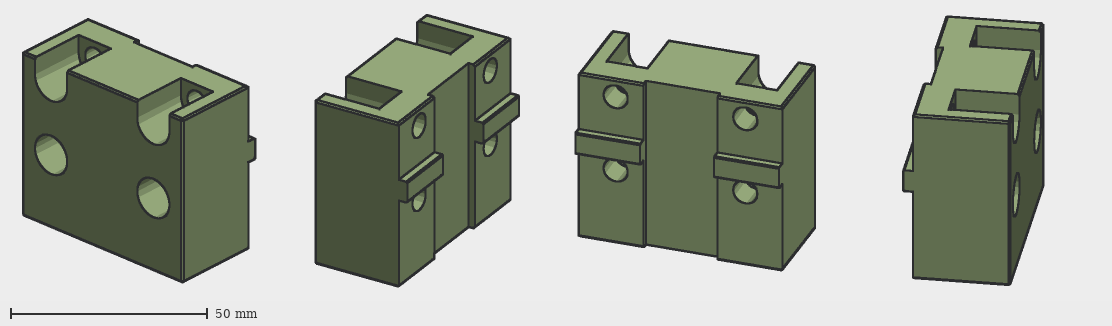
import cadquery as cq

width = 55.0
depth = 25.0
height = 47.0
edge_chamfer = 0.5

key_projection = 2.5
key_height = 6.0
key_center_z = height - 19.0
key_chamfer = 0.3

channel_width = 20.0
channel_depth = 1.9

hole_diameter = 6.5
counterbore_diameter = 11.0
counterbore_depth = 16.5
hole_spacing_x = 35.0
upper_hole_z = height - 5.0
lower_hole_z = upper_hole_z - 21.0


def front_cylinder(x, z, diameter, length):
    """Cylinder that starts on the front face and runs toward +Y."""
    return cq.Workplane("XZ", origin=(x, 0, z)).circle(diameter / 2).extrude(-length)


def make_block():
    """Block chamfered on every edge except the two upright back ones."""
    block = cq.Workplane("XY").box(width, depth, height, centered=(True, False, False))
    return block.edges("(not |Z) or <Y").chamfer(edge_chamfer)


def make_key():
    """Full-width bar on the back face with its long outer edges broken."""
    bar = cq.Workplane("XY").box(width, key_projection, key_height, centered=(True, False, True))
    bar = bar.faces(">Y").edges("|X").chamfer(key_chamfer)
    return bar.translate((0, depth, key_center_z))


def make_channel():
    """Full-height cutter that splits the key and enters the back face."""
    cutter_depth = channel_depth + key_projection
    cutter = cq.Workplane("XY").box(channel_width, cutter_depth, height, centered=(True, False, False))
    return cutter.translate((0, depth - channel_depth, 0))


def make_screw_hole(x, z):
    """Through hole with a deep counterbore from the front."""
    through_hole = front_cylinder(x, z, hole_diameter, depth)
    counterbore = front_cylinder(x, z, counterbore_diameter, counterbore_depth)
    return through_hole.union(counterbore)


def make_top_opening(x):
    """Slot that carries the full counterbore width up through the top face."""
    slot_height = height - upper_hole_z
    slot = cq.Workplane("XY").box(
        counterbore_diameter, counterbore_depth, slot_height, centered=(True, False, False)
    )
    return slot.translate((x, 0, upper_hole_z))


result = make_block().union(make_key()).cut(make_channel())
for hole_x in (-hole_spacing_x / 2, hole_spacing_x / 2):
    for hole_z in (lower_hole_z, upper_hole_z):
        result = result.cut(make_screw_hole(hole_x, hole_z))
    result = result.cut(make_top_opening(hole_x))